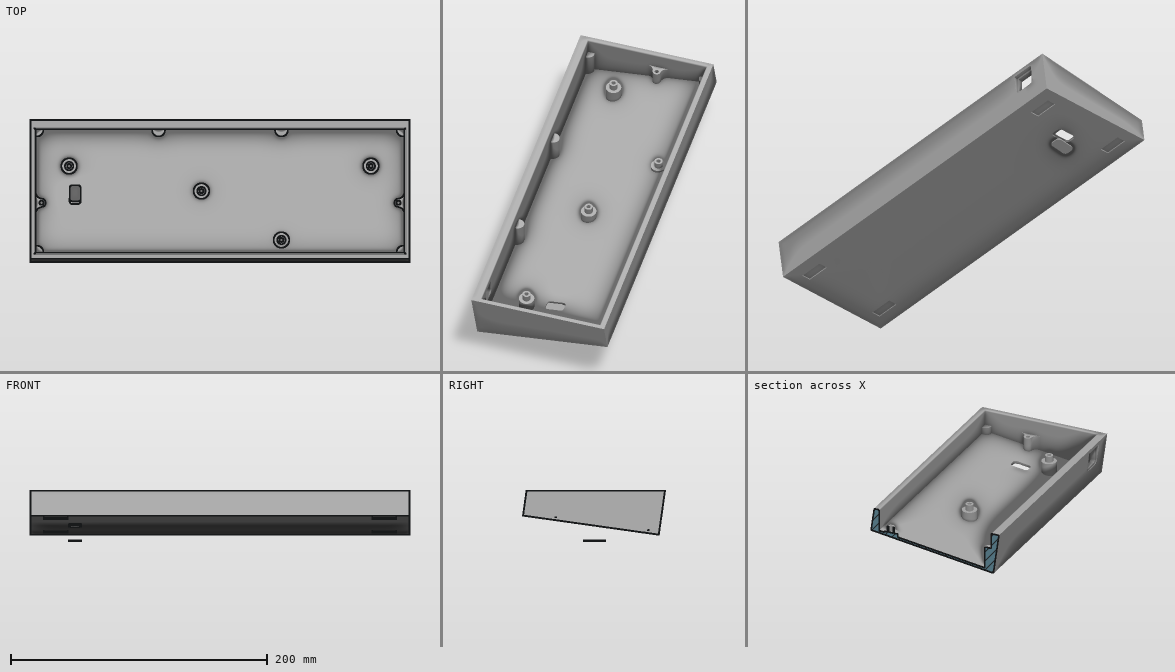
import cadquery as cq
import math


WIDTH = 295.5
DEPTH = 110.8
TILT = 8.0
TILT_SIN = math.sin(math.radians(TILT))
TILT_COS = math.cos(math.radians(TILT))
TILT_TAN = TILT_SIN / TILT_COS
FRONT_HEIGHT = 19.5
FLOOR_THICKNESS = 2.5
FLOOR_RISE = FLOOR_THICKNESS / TILT_COS

BACK_Y = DEPTH / 2
FRONT_Y = -DEPTH / 2
BACK_BOTTOM_Y = (BACK_Y - TILT_TAN * (FRONT_HEIGHT - TILT_TAN * FRONT_Y)) / (1 + TILT_TAN**2)

OPENING_WIDTH = 289.5
OPENING_DEPTH = 98.5
RIM_RADIUS = 1.05
CAVITY_WIDTH = OPENING_WIDTH - 2 * RIM_RADIUS
CAVITY_DEPTH = OPENING_DEPTH - 2 * RIM_RADIUS

STANDOFF_POINTS = [(-117.5, 19.5), (117.5, 19.5), (-14.5, 0.0), (48.0, -38.0)]
STANDOFF_DIAMETER = 12.0
STANDOFF_TOP = -17.7
PIN_DIAMETER = 6.5
PIN_TOP = -12.7
SCREW_HOLE_DIAMETER = 3.2
SCREW_HOLE_DEPTH = PIN_TOP - STANDOFF_TOP

POST_RADIUS = 5.0
POST_TOP = PIN_TOP
POST_X = 142.7
POST_Y = 47.5
MIDDLE_POST_X = 48.0
POST_POINTS = [
    (-POST_X, POST_Y), (POST_X, POST_Y), (-POST_X, -POST_Y), (POST_X, -POST_Y),
    (-MIDDLE_POST_X, POST_Y), (MIDDLE_POST_X, POST_Y),
]

BOSS_X = 139.0
BOSS_Y = -9.2
BOSS_RADIUS = PIN_DIAMETER / 2
BOSS_FILLET = 5.3
BOSS_TOP = PIN_TOP

PORT_X = -125.0
PORT_WIDTH = 14.8
PORT_TOP = -5.0
PORT_BOTTOM = -18.5
PORT_RADIUS = 2.5
PLUG_MARGIN = 1.8
PLUG_RECESS_Y = 52.0

BUTTON_X = -112.8
BUTTON_Y = 0.3
BUTTON_WIDTH = 9.7
BUTTON_LENGTH = 16.8
BUTTON_RADIUS = 3.0
BUTTON_THICKNESS = 1.0
BUTTON_BOTTOM = -39.5
SEAT_Y = -0.5
SEAT_DEPTH = 1.5
SLOT_Y = -2.7
SLOT_WIDTH = 8.5
SLOT_LENGTH = 14.8
SLOT_RADIUS = 2.5

FOOT_X = 128.0
FOOT_SPREAD = 37.8
FOOT_LENGTH = 19.0
FOOT_WIDTH = 8.0
FOOT_DEPTH = 1.0


def base_z(y):
    """Height of the outer base plane at a given Y."""
    return -FRONT_HEIGHT - (y - FRONT_Y) * TILT_TAN


def base_plane(x, y):
    """Work plane on the base, with its normal pointing up into the case."""
    normal = (0, TILT_SIN, TILT_COS)
    return cq.Workplane(cq.Plane(origin=(x, y, base_z(y)), xDir=(1, 0, 0), normal=normal))


def side_extrusion(points, width):
    """Extrude a closed Y-Z outline by a width centred on X = 0."""
    return cq.Workplane("YZ").polyline(points).close().extrude(width / 2, both=True)


def outer_block():
    return side_extrusion(
        [
            (BACK_Y, 0),
            (FRONT_Y + FRONT_HEIGHT * TILT_TAN, 0),
            (FRONT_Y, -FRONT_HEIGHT),
            (BACK_BOTTOM_Y, base_z(BACK_BOTTOM_Y)),
        ],
        WIDTH,
    )


def cavity():
    """Space inside the case: vertical walls over a sloping floor."""
    front = -CAVITY_DEPTH / 2
    back = CAVITY_DEPTH / 2
    return side_extrusion(
        [
            (back, 0),
            (front, 0),
            (front, base_z(front) + FLOOR_RISE),
            (back, base_z(back) + FLOOR_RISE),
        ],
        CAVITY_WIDTH,
    )


def round_column(points, radius, top, height):
    """Vertical cylinders reaching down from a top level."""
    return cq.Workplane("XY", origin=(0, 0, top)).pushPoints(points).circle(radius).extrude(-height)


def boss_outline(side):
    """Side boss with its fillets: each fillet touches the wall and the round boss."""
    wall_gap = CAVITY_WIDTH / 2 - BOSS_X
    fillet_gap = wall_gap - BOSS_FILLET
    reach = BOSS_RADIUS + BOSS_FILLET
    rise = math.sqrt(reach**2 - fillet_gap**2)
    touch_x = fillet_gap * BOSS_RADIUS / reach
    touch_y = rise * BOSS_RADIUS / reach
    start_angle = math.atan2(-rise, -fillet_gap)
    middle_angle = start_angle / 2
    middle_x = fillet_gap + BOSS_FILLET * math.cos(middle_angle)
    middle_y = rise + BOSS_FILLET * math.sin(middle_angle)

    def at(x, y):
        return (side * (BOSS_X + x), BOSS_Y + y)

    return (
        cq.Workplane("XY", origin=(0, 0, BOSS_TOP))
        .moveTo(*at(wall_gap, rise))
        .threePointArc(at(middle_x, middle_y), at(touch_x, touch_y))
        .threePointArc(at(-BOSS_RADIUS, 0), at(touch_x, -touch_y))
        .threePointArc(at(middle_x, -middle_y), at(wall_gap, -rise))
        .close()
    )


def supports():
    """Everything that stands on the floor, trimmed to the cavity."""
    full = 2 * FRONT_HEIGHT
    parts = round_column(STANDOFF_POINTS, STANDOFF_DIAMETER / 2, STANDOFF_TOP, full)
    parts = parts.union(round_column(STANDOFF_POINTS, PIN_DIAMETER / 2, PIN_TOP, full))
    parts = parts.union(round_column(POST_POINTS, POST_RADIUS, POST_TOP, full))
    for side in (-1, 1):
        parts = parts.union(boss_outline(side).extrude(-full))
    return parts.intersect(cavity())


def screw_holes():
    holes = round_column(STANDOFF_POINTS, SCREW_HOLE_DIAMETER / 2, PIN_TOP, SCREW_HOLE_DEPTH)
    boss_points = [(-BOSS_X, BOSS_Y), (BOSS_X, BOSS_Y)]
    return holes.union(round_column(boss_points, SCREW_HOLE_DIAMETER / 2, BOSS_TOP, SCREW_HOLE_DEPTH))


def port_block(start_y, margin):
    """Block through the back wall from start_y outward, with rounded lower edges."""
    height = PORT_TOP - PORT_BOTTOM + 2 * margin
    return (
        cq.Workplane("XY")
        .box(PORT_WIDTH + 2 * margin, DEPTH / 2, height, centered=(True, False, False))
        .edges("|Y and <Z")
        .fillet(PORT_RADIUS + margin)
        .translate((PORT_X, start_y, PORT_BOTTOM - margin))
    )


def port():
    """Port from the cavity, with a wider plug recess in the outer face."""
    inner_start = CAVITY_DEPTH / 2 - RIM_RADIUS
    return port_block(inner_start, 0).union(port_block(PLUG_RECESS_Y, PLUG_MARGIN))


def rounded_prism(y, z, length, width, radius, height):
    """Upright prism at the button's X, with rounded corners and its base at Z = z."""
    return (
        cq.Workplane("XY")
        .box(width, length, height, centered=(True, True, False))
        .edges("|Z")
        .fillet(radius)
        .translate((BUTTON_X, y, z))
    )


def button_opening():
    """Slot through the floor and the wider seat that enters it from below."""
    bottom = base_z(BACK_Y)
    slot = rounded_prism(SLOT_Y, bottom, SLOT_LENGTH, SLOT_WIDTH, SLOT_RADIUS, -bottom)
    seat = rounded_prism(SEAT_Y, bottom, BUTTON_LENGTH, BUTTON_WIDTH, BUTTON_RADIUS, -bottom)
    seat_layer = base_plane(0, 0).rect(WIDTH, DEPTH).extrude(SEAT_DEPTH)
    return slot.union(seat.intersect(seat_layer))


def foot_recesses():
    base_middle = (FRONT_Y + BACK_BOTTOM_Y) / 2
    recesses = cq.Workplane("XY")
    for x in (-FOOT_X, FOOT_X):
        for y in (base_middle - FOOT_SPREAD, base_middle + FOOT_SPREAD):
            recesses = recesses.union(base_plane(x, y).rect(FOOT_LENGTH, FOOT_WIDTH).extrude(FOOT_DEPTH))
    return recesses


def make_case():
    case = outer_block().cut(cavity())
    case = case.faces(">Z").wires(cq.selectors.AreaNthSelector(0)).edges().fillet(RIM_RADIUS)
    case = case.union(supports())
    for opening in (screw_holes(), port(), button_opening(), foot_recesses()):
        case = case.cut(opening)
    return case


def make_button():
    """Loose plate with rounded corners, lying flat below the case."""
    return rounded_prism(BUTTON_Y, BUTTON_BOTTOM, BUTTON_LENGTH, BUTTON_WIDTH, BUTTON_RADIUS, BUTTON_THICKNESS)


case = make_case()
button = make_button()
result = cq.Compound.makeCompound([case.val(), button.val()])